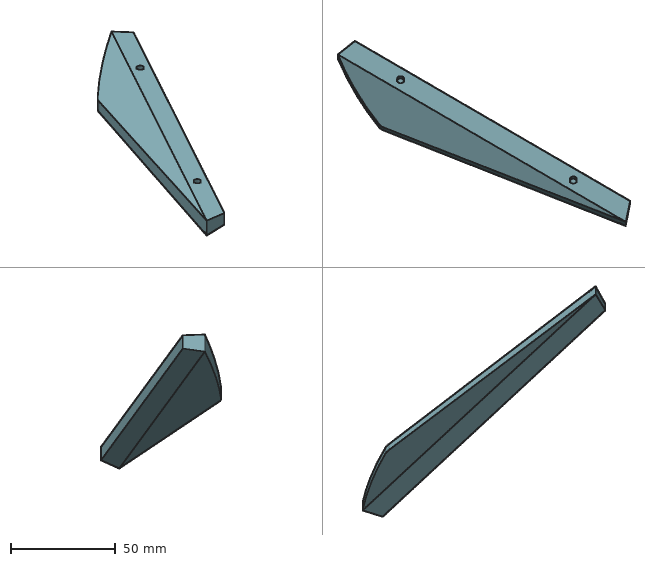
import cadquery as cq

length = 159.9
depth = 26.9
height = 19.2

bend_y = 17.0
strip_end_inset = 3.5
strip_back_thickness = 6.9
bend_thickness = 8.8

front_edge_height = 6.4
apex_x = 34.0
apex_y = -0.13
apex_radius = 5.9

bend_corner_x = -0.06
bend_corner_radius = 0.3

blade_arc_mid_x = 16.3
blade_arc_mid_y = 7.2

front_overhang = 1.6

hole_diameter = 3.5
hole_depth = 4.8
hole_end_distance = 32.0
hole_y = 21.7


def bent_profile():
    """Bent cross-section in the YZ plane, extruded along the full length."""
    front_top = front_edge_height - height
    top_slope = -front_top / bend_y
    bottom_slope = (height - bend_thickness) / bend_y
    return (
        cq.Workplane("YZ")
        .workplane(offset=bend_corner_x)
        .moveTo(depth, 0)
        .lineTo(bend_y, 0)
        .lineTo(-front_overhang, front_top - front_overhang * top_slope)
        .lineTo(-front_overhang, -height - front_overhang * bottom_slope)
        .lineTo(bend_y, -bend_thickness)
        .lineTo(depth, -strip_back_thickness)
        .close()
        .extrude(length - bend_corner_x)
    )


def plan_outline():
    """Vertical prism with the outline seen from above, with rounded left corner and apex."""
    prism = (
        cq.Workplane("XY")
        .workplane(offset=-height)
        .moveTo(strip_end_inset, depth)
        .lineTo(bend_corner_x, bend_y)
        .threePointArc((blade_arc_mid_x, blade_arc_mid_y), (apex_x, apex_y))
        .lineTo(length, bend_y)
        .lineTo(length - strip_end_inset, depth)
        .close()
        .extrude(height)
    )
    rounded_corners = [
        (apex_x, apex_y, apex_radius),
        (bend_corner_x, bend_y, bend_corner_radius),
    ]
    for x, y, radius in rounded_corners:
        corner_edge = cq.selectors.NearestToPointSelector((x, y, -height / 2))
        prism = prism.edges("|Z").edges(corner_edge).fillet(radius)
    return prism


def mounting_holes():
    """Blind round cutters sunk from the top of the strip."""
    hole_centres = [(hole_end_distance, hole_y), (length - hole_end_distance, hole_y)]
    return (
        cq.Workplane("XY")
        .pushPoints(hole_centres)
        .circle(hole_diameter / 2)
        .extrude(-hole_depth)
    )


result = bent_profile().intersect(plan_outline()).cut(mounting_holes())